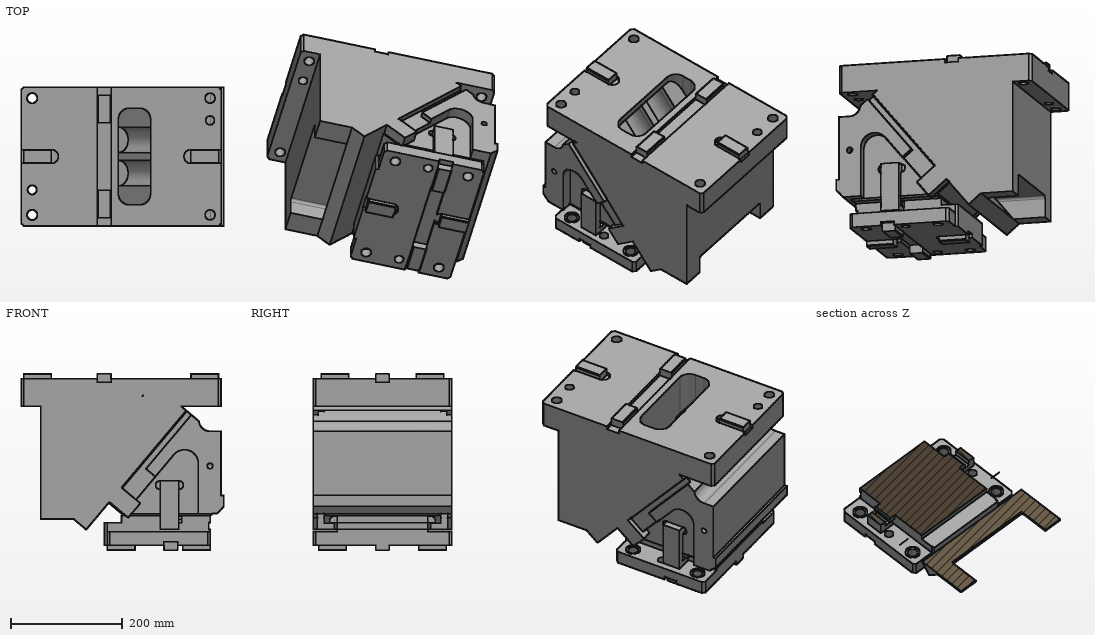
import cadquery as cq
import math


WIDTH = 250.0
HALF_WIDTH = WIDTH / 2
CORNER_CHAMFER = 5.0

KEY_LENGTH = 50.0
KEY_WIDTH = 25.0
KEY_STANDOUT = 9.0
KEYWAY_DEPTH = 6.5
KEY_CHAMFER = 1.5

SCREW_HOLE_DIA = 18.0
DOWEL_HOLE_DIA = 16.0
SCREW_ROW_Y = 105.0

SHUT_HEIGHT = 300.0
PLATE_LENGTH = 360.0
PLATE_THICKNESS = 50.0
PLATE_UNDERSIDE = SHUT_HEIGHT - PLATE_THICKNESS
BODY_LEFT = 35.0
BODY_BOTTOM = 47.5
TIP_LENGTH = 30.0
CROSS_KEY_X = 149.5
TOP_KEY_END_GAP = 4.5
TOP_KEYWAY_LENGTH = 67.0
TOP_CROSS_KEY_Y = 85.5
TOP_HOLE_INSET = 20.0
LEFT_DOWEL_Y = -60.0
RIGHT_DOWEL_Y = 65.0
NOTCH_HALF_WIDTH = 87.0
NOTCH_TOP = 87.0
NOTCH_RADIUS = 5.0

WINDOW_LEFT = 175.0
WINDOW_RIGHT = 233.0
WINDOW_HALF_WIDTH = 87.0
WINDOW_RADIUS = 20.0
WINDOW_RIGHT_DEPTH = 14.0
SPRING_SEAT_DIA = 46.0
SPRING_SEAT_Y = 30.0
SPRING_SEAT_WALL = 12.0

SLIDE_ANGLE = math.radians(50.0)
SLIDE_FOOT_X = 159.0
SLIDE_FOOT_Z = 78.0
SLIDE_TOP = 215.0
STOP_LENGTH = 34.0
STOP_DEPTH = 44.0

CORE_HALF_WIDTH = 105.0
CORE_OVERHANG = 2.0
SLIDE_GAP = 1.5
FLANGE_RECESS = 9.0
FLANGE_THICKNESS = 34.0
STRIP_THICKNESS = 12.0
STRIP_START = 88.0
SIDE_BOTTOM = 57.0
SOLE_THICKNESS = 3.5
SOLE_CHAMFER = 3.4
SOLE_RIGHT = 344.0
SOLE_BOTTOM = SIDE_BOTTOM - SOLE_THICKNESS
NOSE_X = 365.0
NOSE_TOP = 90.0
NOSE_LOW = 70.0
NOSE_CHAMFER_X = 352.5
SLIDER_RIGHT = 360.0
SLIDER_TOP = 205.5
HOLLOW_X = 340.0
HOLLOW_RADIUS = 20.0
ARCH_RIGHT = 319.0
ARCH_RADIUS = 25.0
LIFT_HOLE_X = 340.0
LIFT_HOLE_Z = 143.0
LIFT_HOLE_DIA = 10.0
LIFT_HOLE_DEPTH = 20.0
DRILL_POINT_ANGLE = math.radians(118.0)

BRACKET_X = 267.0
BRACKET_WIDTH = 34.0
BRACKET_THICKNESS = 12.0
BRACKET_BOTTOM = 29.0
BRACKET_TOP = 116.0
BRACKET_SLOT_LENGTH = 50.0
BRACKET_SLOT_HEIGHT = 15.0
BRACKET_SLOT_DEPTH = 8.0
HOOK_TOP = 40.0
HOOK_INNER_Y = 87.0

BASE_LEFT = 155.0
BASE_RIGHT = 340.5
BASE_THICKNESS = 25.0
BLOCK_HALF_WIDTH = 81.5
TAB_HALF_WIDTH = 80.0
TAB_LEFT = 150.0
BLOCK_STEP_X = 180.5
BLOCK_STEP_Z = 41.0
BLOCK_RELIEF_DEPTH = 2.5
BLOCK_RELIEF_BOTTOM = 29.0
BASE_CROSS_KEY_X = 269.5
BASE_CROSS_KEY_Y = 90.0
BASE_KEYWAY_LENGTH = 62.0
BASE_SCREWS_X = (180.0, 315.0)
BASE_DOWEL_X = 241.0
SCREW_RECESS_DIA = 26.0
SCREW_RECESS_DEPTH = 2.0
LUG_LEFT = 250.0
LUG_RIGHT = 289.0
LUG_OUTER_Y = 95.0
LUG_BOTTOM = BLOCK_STEP_Z
LUG_TOP = 52.5
LUG_CHAMFER = 5.0


def box(x0, x1, y0, y1, z0, z1):
    size = (x1 - x0, y1 - y0, z1 - z0)
    return cq.Workplane("XY").box(*size, centered=False).translate((x0, y0, z0))


def slide_point(along, off):
    """X and Z of a point given by its distances along and square to the slide."""
    x = SLIDE_FOOT_X + along * math.cos(SLIDE_ANGLE) + off * math.sin(SLIDE_ANGLE)
    z = SLIDE_FOOT_Z + along * math.sin(SLIDE_ANGLE) - off * math.cos(SLIDE_ANGLE)
    return (x, z)


def slide_distances(x, z):
    """Distances along and square to the slide of a point given by its X and Z."""
    dx = x - SLIDE_FOOT_X
    dz = z - SLIDE_FOOT_Z
    along = dx * math.cos(SLIDE_ANGLE) + dz * math.sin(SLIDE_ANGLE)
    off = dx * math.sin(SLIDE_ANGLE) - dz * math.cos(SLIDE_ANGLE)
    return (along, off)


def slide_point_at_height(along, z):
    """The point at height z on the line square to the slide at the given distance along it."""
    off = (slide_point(along, 0)[1] - z) / math.cos(SLIDE_ANGLE)
    return slide_point(along, off)


def slide_rectangle(along0, along1, off0, off1):
    corners = [(along0, off0), (along1, off0), (along1, off1), (along0, off1)]
    return [slide_point(*corner) for corner in corners]


def extrude_between(outline, y0, y1):
    """Extrude a closed XZ outline from y0 to y1."""
    return outline.extrude(y0 - y1).translate((0, y0, 0))


def prism(points, y0, y1):
    return extrude_between(cq.Workplane("XZ").polyline(points).close(), y0, y1)


def mirrored(side):
    """A feature of the -Y side together with its copy on the +Y side."""
    return side.union(side.mirror("XZ"))


def plate(x0, x1, z0, z1):
    return box(x0, x1, -HALF_WIDTH, HALF_WIDTH, z0, z1).edges("|Z").chamfer(CORNER_CHAMFER)


def vertical_hole(x, y, diameter, z0, z1):
    return cq.Workplane("XY").center(x, y).circle(diameter / 2).extrude(z1 - z0).translate((0, 0, z0))


def key(x, y, along_x, face_z, outward):
    """A key seated in a keyway below face_z; outward is +1 for an upward face, -1 for a downward one."""
    height = KEYWAY_DEPTH + KEY_STANDOUT
    block = cq.Workplane("XY").box(KEY_LENGTH, KEY_WIDTH, height)
    block = block.faces(">Z").edges("|X").chamfer(KEY_CHAMFER)
    if not along_x:
        block = block.rotate((0, 0, 0), (0, 0, 1), 90)
    if outward < 0:
        block = block.mirror("XY")
    return block.translate((x, y, face_z + outward * (height / 2 - KEYWAY_DEPTH)))


def end_keyway(end_x, inward, length, z0):
    """A keyway open at end_x, running inward (+1 or -1 along X) to a round end."""
    centre_x = end_x + inward * (length - KEY_WIDTH / 2)
    straight = box(min(end_x, centre_x), max(end_x, centre_x),
                   -KEY_WIDTH / 2, KEY_WIDTH / 2, z0, z0 + KEYWAY_DEPTH)
    return straight.union(vertical_hole(centre_x, 0, KEY_WIDTH, z0, z0 + KEYWAY_DEPTH))


def cross_keyway(x, z0):
    return box(x - KEY_WIDTH / 2, x + KEY_WIDTH / 2, -HALF_WIDTH, HALF_WIDTH, z0, z0 + KEYWAY_DEPTH)



def tip_points():
    """The lower tip of the housing, from its end on the slide to the bottom face."""
    tip_along = -(SLIDE_FOOT_Z - BODY_BOTTOM) / math.sin(SLIDE_ANGLE)
    tip_along -= TIP_LENGTH * math.cos(SLIDE_ANGLE) / math.sin(SLIDE_ANGLE)
    return [slide_point(tip_along, 0), slide_point(tip_along, -TIP_LENGTH)]


def housing_body():
    tip, tip_heel = tip_points()
    outline = [
        (BODY_LEFT, PLATE_UNDERSIDE),
        slide_point_at_height(SLIDE_TOP, PLATE_UNDERSIDE),
        slide_point(SLIDE_TOP, 0),
        tip,
        tip_heel,
        (BODY_LEFT, BODY_BOTTOM),
    ]
    body = prism(outline, -HALF_WIDTH, HALF_WIDTH)
    body = body.union(plate(0, PLATE_LENGTH, PLATE_UNDERSIDE, SHUT_HEIGHT))
    stop = prism(slide_rectangle(0, STOP_LENGTH, 0, STOP_DEPTH), -HALF_WIDTH, -CORE_HALF_WIDTH)
    return body.union(mirrored(stop))


def bottom_notch():
    """Pocket open to the bottom and the left, ending in a wall parallel to the slide."""
    heel = tip_points()[1]
    wall_run = (NOTCH_TOP - BODY_BOTTOM) / math.tan(SLIDE_ANGLE)
    outline = [(0, BODY_BOTTOM), heel, (heel[0] + wall_run, NOTCH_TOP), (0, NOTCH_TOP)]
    notch = prism(outline, -NOTCH_HALF_WIDTH, NOTCH_HALF_WIDTH)
    return notch.faces(">Z").edges("|X").fillet(NOTCH_RADIUS)


def spring_window():
    """Window with a floor parallel to the slide.

    Two round-bottomed spring seats are sunk in the floor and run on below the right lip.
    """
    floor_right_z = SHUT_HEIGHT - WINDOW_RIGHT_DEPTH
    window_length = WINDOW_RIGHT - WINDOW_LEFT
    floor_left_z = floor_right_z - window_length * math.tan(SLIDE_ANGLE)
    shaft = box(WINDOW_LEFT, WINDOW_RIGHT, -WINDOW_HALF_WIDTH, WINDOW_HALF_WIDTH,
                floor_left_z, SHUT_HEIGHT)
    shaft = shaft.edges("|Z").fillet(WINDOW_RADIUS)
    above_floor = prism(
        [(WINDOW_LEFT, floor_left_z), (WINDOW_RIGHT, floor_right_z),
         (WINDOW_RIGHT, SHUT_HEIGHT), (WINDOW_LEFT, SHUT_HEIGHT)],
        -HALF_WIDTH, HALF_WIDTH)
    window = shaft.intersect(above_floor)

    below_lip = box(WINDOW_LEFT, PLATE_LENGTH, -WINDOW_HALF_WIDTH, WINDOW_HALF_WIDTH, 0, floor_right_z)
    seat_radius = SPRING_SEAT_DIA / 2
    seat_drop = SPRING_SEAT_WALL / math.cos(SLIDE_ANGLE)
    seat_left_z = floor_left_z - seat_drop
    wall_outline = [
        (WINDOW_LEFT, floor_left_z),
        (WINDOW_RIGHT, floor_right_z),
        (WINDOW_RIGHT + seat_drop / math.tan(SLIDE_ANGLE), floor_right_z),
        (WINDOW_LEFT, seat_left_z),
    ]
    seat_axis = cq.Vector(math.cos(SLIDE_ANGLE), 0, math.sin(SLIDE_ANGLE))
    seat_length = window_length / math.cos(SLIDE_ANGLE) + 2 * SPRING_SEAT_DIA
    for y in (-SPRING_SEAT_Y, SPRING_SEAT_Y):
        seat_start = cq.Vector(WINDOW_LEFT, y, seat_left_z)
        seat = cq.Solid.makeCylinder(seat_radius, seat_length, seat_start, seat_axis)
        window = window.union(below_lip.intersect(cq.Workplane(seat)))
        window = window.union(prism(wall_outline, y - seat_radius, y + seat_radius))
    return window


def make_housing():
    body = housing_body().cut(bottom_notch()).cut(spring_window())
    keyway_floor = SHUT_HEIGHT - KEYWAY_DEPTH
    body = body.cut(cross_keyway(CROSS_KEY_X, keyway_floor))
    body = body.cut(end_keyway(0, 1, TOP_KEYWAY_LENGTH, keyway_floor))
    body = body.cut(end_keyway(PLATE_LENGTH, -1, TOP_KEYWAY_LENGTH, keyway_floor))

    for x, dowel_y in ((TOP_HOLE_INSET, LEFT_DOWEL_Y), (PLATE_LENGTH - TOP_HOLE_INSET, RIGHT_DOWEL_Y)):
        body = body.cut(vertical_hole(x, dowel_y, DOWEL_HOLE_DIA, PLATE_UNDERSIDE, SHUT_HEIGHT))
        for y in (-SCREW_ROW_Y, SCREW_ROW_Y):
            body = body.cut(vertical_hole(x, y, SCREW_HOLE_DIA, PLATE_UNDERSIDE, SHUT_HEIGHT))

    end_key_x = TOP_KEY_END_GAP + KEY_LENGTH / 2
    for x in (end_key_x, PLATE_LENGTH - end_key_x):
        body = body.union(key(x, 0, True, SHUT_HEIGHT, 1))
    for y in (-TOP_CROSS_KEY_Y, TOP_CROSS_KEY_Y):
        body = body.union(key(CROSS_KEY_X, y, False, SHUT_HEIGHT, 1))
    return body



def add_slider_back(path):
    """Continue an outline from the bottom right, up the nose and over the top to the slide end line."""
    hollow_z = SLIDER_TOP + HOLLOW_RADIUS
    hollow_along, hollow_off = slide_distances(HOLLOW_X, hollow_z)
    half_chord = math.sqrt(HOLLOW_RADIUS**2 - (SLIDE_TOP - hollow_along) ** 2)
    hollow_start = slide_point(SLIDE_TOP, hollow_off - half_chord)
    on_arc = HOLLOW_RADIUS * math.sqrt(0.5)
    return (
        path.lineTo(NOSE_CHAMFER_X, SIDE_BOTTOM)
        .lineTo(NOSE_X, NOSE_LOW)
        .lineTo(NOSE_X, NOSE_TOP)
        .lineTo(SLIDER_RIGHT, NOSE_TOP)
        .lineTo(SLIDER_RIGHT, SLIDER_TOP)
        .lineTo(HOLLOW_X, SLIDER_TOP)
        .threePointArc((HOLLOW_X - on_arc, hollow_z - on_arc), hollow_start)
    )


def slider_core():
    path = (
        cq.Workplane("XZ")
        .moveTo(*slide_point(SLIDE_TOP, 0))
        .lineTo(*slide_point(-CORE_OVERHANG, 0))
        .lineTo(*slide_point_at_height(-CORE_OVERHANG, SIDE_BOTTOM))
    )
    core = extrude_between(add_slider_back(path).close(), -CORE_HALF_WIDTH, CORE_HALF_WIDTH)
    sole_left = slide_point_at_height(-CORE_OVERHANG, SIDE_BOTTOM)[0]
    sole = box(sole_left, SOLE_RIGHT, -CORE_HALF_WIDTH, CORE_HALF_WIDTH, SOLE_BOTTOM, SIDE_BOTTOM)
    sole = sole.faces("<Z").edges("|X or >X").chamfer(SOLE_CHAMFER)
    return core.union(sole)


def slider_cheek():
    """Side wall on -Y: a flange along the slide joined to the back, around an arched pocket."""
    arch_off = FLANGE_THICKNESS + ARCH_RADIUS
    arch_x = ARCH_RIGHT - ARCH_RADIUS
    arch_along = (arch_x - slide_point(0, arch_off)[0]) / math.cos(SLIDE_ANGLE)
    arch_z = slide_point(arch_along, arch_off)[1]
    path = (
        cq.Workplane("XZ")
        .moveTo(*slide_point(SLIDE_TOP, SLIDE_GAP))
        .lineTo(*slide_point(STOP_LENGTH, SLIDE_GAP))
        .lineTo(*slide_point(STOP_LENGTH, FLANGE_THICKNESS))
        .lineTo(*slide_point(arch_along, FLANGE_THICKNESS))
        .threePointArc((arch_x, arch_z + ARCH_RADIUS), (ARCH_RIGHT, arch_z))
        .lineTo(ARCH_RIGHT, SIDE_BOTTOM)
    )
    cheek = extrude_between(add_slider_back(path).close(), -HALF_WIDTH, -CORE_HALF_WIDTH)

    recess_y = -HALF_WIDTH + FLANGE_RECESS
    strip = slide_rectangle(STOP_LENGTH, SLIDE_TOP, 0, STRIP_THICKNESS)
    lower_flange = slide_rectangle(STOP_LENGTH, STRIP_START, 0, FLANGE_THICKNESS)
    cheek = cheek.cut(prism(strip, -HALF_WIDTH, recess_y))
    return cheek.cut(prism(lower_flange, -HALF_WIDTH, recess_y))


def lift_hole():
    """Blind hole in the -Y side with a drill point at its end."""
    radius = LIFT_HOLE_DIA / 2
    hole_end = LIFT_HOLE_DEPTH - HALF_WIDTH
    start = cq.Vector(LIFT_HOLE_X, -HALF_WIDTH, LIFT_HOLE_Z)
    end = cq.Vector(LIFT_HOLE_X, hole_end, LIFT_HOLE_Z)
    inward = cq.Vector(0, 1, 0)
    point_length = radius / math.tan(DRILL_POINT_ANGLE / 2)
    bore = cq.Workplane(cq.Solid.makeCylinder(radius, LIFT_HOLE_DEPTH, start, inward))
    return bore.union(cq.Workplane(cq.Solid.makeCone(radius, 0, point_length, end, inward)))


def bracket_slot():
    slot_z = BRACKET_TOP - BRACKET_SLOT_HEIGHT / 2
    slot = cq.Workplane("XZ").center(BRACKET_X, slot_z).slot2D(BRACKET_SLOT_LENGTH, BRACKET_SLOT_HEIGHT)
    return extrude_between(slot, -CORE_HALF_WIDTH, -CORE_HALF_WIDTH + BRACKET_SLOT_DEPTH)


def return_bracket():
    """Upright on the -Y pocket floor with a tongue in the slot and a hook below the base lug."""
    x0 = BRACKET_X - BRACKET_WIDTH / 2
    x1 = BRACKET_X + BRACKET_WIDTH / 2
    outer_y = -CORE_HALF_WIDTH - BRACKET_THICKNESS
    tongue_y = -CORE_HALF_WIDTH + BRACKET_SLOT_DEPTH
    tongue_z = BRACKET_TOP - BRACKET_SLOT_HEIGHT
    upright = box(x0, x1, outer_y, -CORE_HALF_WIDTH, BRACKET_BOTTOM, BRACKET_TOP)
    tongue = box(x0, x1, -CORE_HALF_WIDTH, tongue_y, tongue_z, BRACKET_TOP)
    hook = box(x0, x1, -CORE_HALF_WIDTH, -HOOK_INNER_Y, BRACKET_BOTTOM, HOOK_TOP)
    return upright.union(tongue).union(hook)


def make_slider():
    body = slider_core().cut(mirrored(bracket_slot())).union(mirrored(slider_cheek()))
    return body.cut(mirrored(lift_hole())).union(mirrored(return_bracket()))



def base_block():
    """Raised middle of the base, carrying the slider's sole, with a narrower tab at its left end."""
    block_outline = [
        (BASE_LEFT, 0),
        (BASE_RIGHT, 0),
        (BASE_RIGHT, BLOCK_RELIEF_BOTTOM),
        (BASE_RIGHT - BLOCK_RELIEF_DEPTH, BLOCK_RELIEF_BOTTOM),
        (BASE_RIGHT - BLOCK_RELIEF_DEPTH, BLOCK_STEP_Z),
        (BASE_RIGHT, BLOCK_STEP_Z),
        (BASE_RIGHT, SOLE_BOTTOM),
        (BLOCK_STEP_X, SOLE_BOTTOM),
        (BLOCK_STEP_X, BLOCK_STEP_Z),
        (BASE_LEFT, BLOCK_STEP_Z),
    ]
    tab = box(TAB_LEFT, BASE_LEFT, -TAB_HALF_WIDTH, TAB_HALF_WIDTH, 0, BLOCK_STEP_Z)
    return prism(block_outline, -BLOCK_HALF_WIDTH, BLOCK_HALF_WIDTH).union(tab)


def return_lug():
    """Lug on the -Y side of the block, standing above the bracket hook."""
    lug = box(LUG_LEFT, LUG_RIGHT, -LUG_OUTER_Y, -BLOCK_HALF_WIDTH, LUG_BOTTOM, LUG_TOP)
    return lug.faces("<Y").edges(">Z").chamfer(LUG_CHAMFER)


def make_base():
    body = plate(BASE_LEFT, BASE_RIGHT, 0, BASE_THICKNESS).union(base_block())
    body = body.union(mirrored(return_lug()))
    body = body.cut(cross_keyway(BASE_CROSS_KEY_X, 0))
    body = body.cut(end_keyway(TAB_LEFT, 1, BASE_KEYWAY_LENGTH, 0))
    body = body.cut(end_keyway(BASE_RIGHT, -1, BASE_KEYWAY_LENGTH, 0))

    recess_floor = BASE_THICKNESS - SCREW_RECESS_DEPTH
    for y in (-SCREW_ROW_Y, SCREW_ROW_Y):
        body = body.cut(vertical_hole(BASE_DOWEL_X, y, DOWEL_HOLE_DIA, 0, BASE_THICKNESS))
        for x in BASE_SCREWS_X:
            body = body.cut(vertical_hole(x, y, SCREW_HOLE_DIA, 0, BASE_THICKNESS))
            body = body.cut(vertical_hole(x, y, SCREW_RECESS_DIA, recess_floor, BASE_THICKNESS))

    for x in (BASE_LEFT + KEY_LENGTH / 2, BASE_RIGHT - KEY_LENGTH / 2):
        body = body.union(key(x, 0, True, 0, -1))
    for y in (-BASE_CROSS_KEY_Y, BASE_CROSS_KEY_Y):
        body = body.union(key(BASE_CROSS_KEY_X, y, False, 0, -1))
    return body


housing = make_housing()
slider = make_slider()
base = make_base()

result = cq.Compound.makeCompound([body.solids().val() for body in (housing, slider, base)])